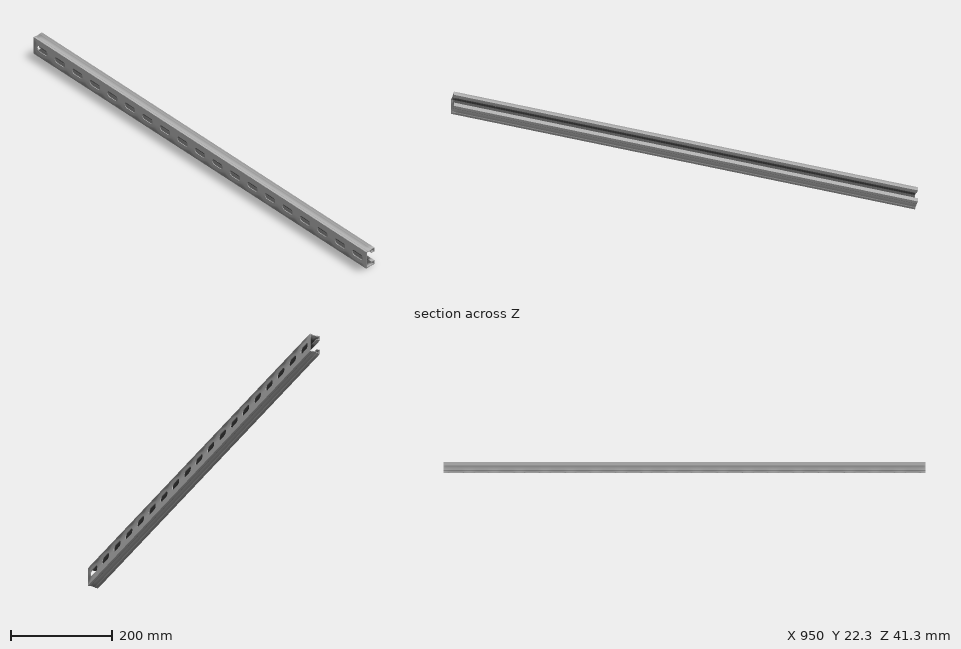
import math

import cadquery as cq

length = 950.0
depth = 22.27
height = 41.3
thickness = 1.5

lip_width = 9.5
lip_return = 7.6

groove_depth = 0.9
groove_start = 4.4
groove_end = 16.0
groove_slope = 1.6

slot_length = 30.0
slot_width = 13.5
slot_pitch = 50.0
slot_count = int(length // slot_pitch)

half_height = height / 2


def flange_half():
    """Upper half of the channel, from the middle of the web to the end of the lip return."""
    floor_z = half_height - groove_depth
    lip_z = half_height - lip_width
    return_y = depth - lip_return
    floor_start = groove_start + groove_slope
    floor_end = groove_end - groove_slope
    outer = [
        (0, 0),
        (0, half_height),
        (groove_start, half_height),
        (floor_start, floor_z),
        (floor_end, floor_z),
        (groove_end, half_height),
        (depth, half_height),
        (depth, lip_z),
        (return_y, lip_z),
    ]

    slope_angle = math.atan2(groove_depth, groove_slope)
    shift = thickness * math.tan(slope_angle / 2)
    inner_lip_y = depth - thickness
    inner_top_z = half_height - thickness
    inner_floor_z = floor_z - thickness
    inner = [
        (return_y, lip_z + thickness),
        (inner_lip_y, lip_z + thickness),
        (inner_lip_y, inner_top_z),
        (groove_end + shift, inner_top_z),
        (floor_end + shift, inner_floor_z),
        (floor_start - shift, inner_floor_z),
        (groove_start - shift, inner_top_z),
        (thickness, inner_top_z),
        (thickness, 0),
    ]
    return cq.Workplane("YZ").polyline(outer + inner).close().extrude(length)


def channel():
    """Both halves of the channel, mirrored about the middle of the web."""
    upper = flange_half()
    lower = upper.mirror("XY")
    return upper.union(lower).clean()


def web_slots():
    """Cutters for the row of slots, half a pitch in from each end."""
    centres = [((i + 0.5) * slot_pitch, 0) for i in range(slot_count)]
    return (
        cq.Workplane("XZ")
        .pushPoints(centres)
        .slot2D(slot_length, slot_width)
        .extrude(thickness, both=True)
    )


result = channel().cut(web_slots())